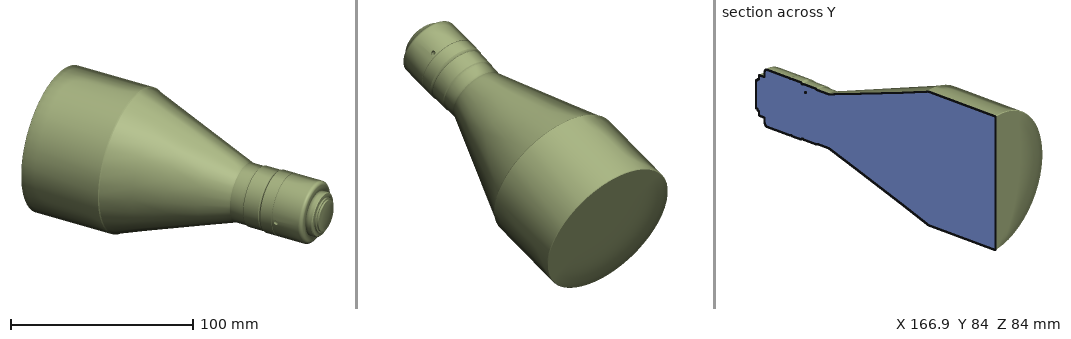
import cadquery as cq
import math


length = 166.9
front_barrel_end = 48.0
cone_end = 116.2
collar_start = 124.3
collar_end = 134.4
rear_barrel_start = 134.5
ring_joint = 142.7
rear_barrel_end = 160.9
mount_end = 164.9
rear_lip_start = 165.9

front_diameter = 84.0
front_radius = front_diameter / 2
neck_radius = 17.0
collar_radius = 17.5
rear_radius = 18.0
mount_radius = 12.9
rear_boss_radius = 10.0
rear_lip_radius = 9.0

small_chamfer = 0.5
front_chamfer = 0.3
rear_fillet = 2.0
joint_width = 0.5
joint_depth = 0.3

screw_count = 3
screw_position = 145.2
screw_diameter = 2.7
screw_depth = 1.7
screw_tip_depth = 0.8
first_screw_angle = 62.0


def turned_section(start, end, radius):
    """Cylinder about the X axis between two stations."""
    return cq.Workplane("YZ").workplane(offset=start).circle(radius).extrude(end - start)


def make_front_body():
    """Front barrel, cone and neck, running up to the rear barrel."""
    cone_start = front_barrel_end - small_chamfer
    return (
        cq.Workplane("XY")
        .lineTo(0, front_radius - front_chamfer)
        .lineTo(front_chamfer, front_radius)
        .lineTo(cone_start, front_radius)
        .lineTo(front_barrel_end, front_radius - small_chamfer)
        .lineTo(cone_end, neck_radius)
        .lineTo(rear_barrel_start, neck_radius)
        .lineTo(rear_barrel_start, 0)
        .close()
        .revolve(360, (0, 0, 0), (1, 0, 0))
    )


def make_collar():
    """Raised collar on the neck, chamfered at both ends."""
    return turned_section(collar_start, collar_end, collar_radius).edges().chamfer(small_chamfer)


def make_rear_barrel():
    """Rear barrel with a front edge chamfered down to the neck, rounded rear edge and joint groove."""
    barrel = turned_section(rear_barrel_start, rear_barrel_end, rear_radius)
    barrel = barrel.faces("<X").edges().chamfer(rear_radius - neck_radius)
    barrel = barrel.faces(">X").edges().fillet(rear_fillet)
    groove_start = ring_joint - joint_width / 2
    groove_end = ring_joint + joint_width / 2
    outer = turned_section(groove_start, groove_end, rear_radius + joint_depth)
    core = turned_section(groove_start, groove_end, rear_radius - joint_depth)
    return barrel.cut(outer.cut(core))


def make_mount():
    """Camera mount and the two small steps behind it."""
    mount = turned_section(rear_barrel_end, mount_end, mount_radius)
    mount = mount.faces(">X").edges().chamfer(small_chamfer)
    boss = turned_section(mount_end, rear_lip_start, rear_boss_radius)
    lip = turned_section(rear_lip_start, length, rear_lip_radius)
    return mount.union(boss).union(lip)


def make_screw_hole(angle):
    """Cutter for one blind radial hole, with a conical bottom, in the rear barrel."""
    direction = cq.Vector(0, math.cos(math.radians(angle)), math.sin(math.radians(angle)))
    bottom = cq.Vector(screw_position, 0, 0) + direction * (rear_radius - screw_depth)
    hole = cq.Solid.makeCylinder(screw_diameter / 2, 2 * screw_depth, bottom, direction)
    tip = cq.Solid.makeCone(screw_diameter / 2, 0, screw_tip_depth, bottom, -direction)
    return hole.fuse(tip)


result = make_front_body().union(make_collar()).union(make_rear_barrel()).union(make_mount())
for index in range(screw_count):
    result = result.cut(make_screw_hole(first_screw_angle + index * 360 / screw_count))